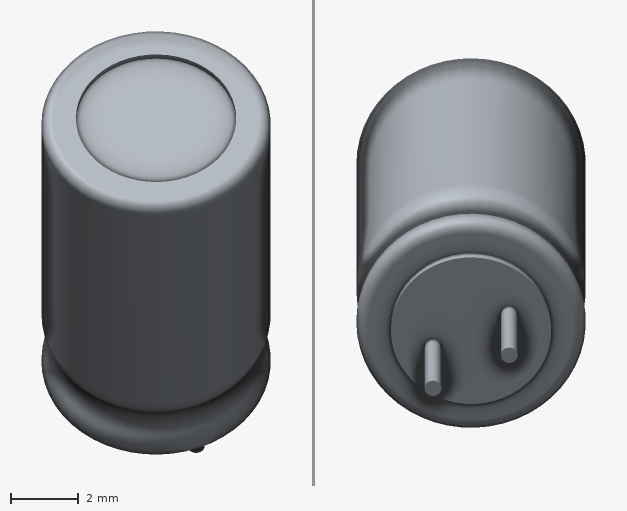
import cadquery as cq
import math

total_height = 15.5
can_radius = 3.4
can_bottom = 3.3

top_rim_radius = 0.33
bottom_rim_radius = 0.35
recess_radius = 2.37
recess_depth = 0.2

waist_height = 4.84
waist_depth = 0.34
waist_half_height = 1.16

seal_radius = 2.37
seal_bottom = 3.0
lead_radius = 0.25
lead_spacing = 2.5
lead_embed = 0.15


def make_can():
    """Revolve the can profile, including its crimped waist."""
    arc_height = waist_half_height / 2
    arc_inset = waist_depth / 2
    arc_radius = (arc_height**2 + arc_inset**2) / (2 * arc_inset)
    half_angle = math.atan(arc_inset / arc_height)
    mid_inset = arc_radius * (1 - math.cos(half_angle))
    mid_height = arc_radius * math.sin(half_angle)

    waist_radius = can_radius - waist_depth
    join_radius = can_radius - arc_inset
    bulge_radius = can_radius - mid_inset
    crimp_bottom = waist_height - waist_half_height
    crimp_top = waist_height + waist_half_height

    profile = (
        cq.Workplane("XZ")
        .moveTo(0, can_bottom)
        .lineTo(can_radius, can_bottom)
        .lineTo(can_radius, crimp_bottom)
        .threePointArc(
            (bulge_radius, crimp_bottom + mid_height),
            (join_radius, waist_height - arc_height),
        )
        .threePointArc(
            (waist_radius, waist_height),
            (join_radius, waist_height + arc_height),
        )
        .threePointArc(
            (bulge_radius, crimp_top - mid_height),
            (can_radius, crimp_top),
        )
        .lineTo(can_radius, total_height)
        .lineTo(0, total_height)
        .close()
    )
    can = profile.revolve(360, (0, 0, 0), (0, 1, 0))
    can = can.faces(">Z").edges().fillet(top_rim_radius)
    return can.faces("<Z").edges().fillet(bottom_rim_radius)


def vertical_cylinder(radius, bottom, top, x=0):
    """Cylinder along Z between two heights, centred at the given X."""
    return cq.Workplane("XY", origin=(x, 0, bottom)).circle(radius).extrude(top - bottom)


recess = vertical_cylinder(recess_radius, total_height - recess_depth, total_height)
seal = vertical_cylinder(seal_radius, seal_bottom, can_bottom)
result = make_can().cut(recess).union(seal)

for side in (-1, 1):
    lead = vertical_cylinder(lead_radius, 0, seal_bottom + lead_embed, side * lead_spacing / 2)
    result = result.union(lead)